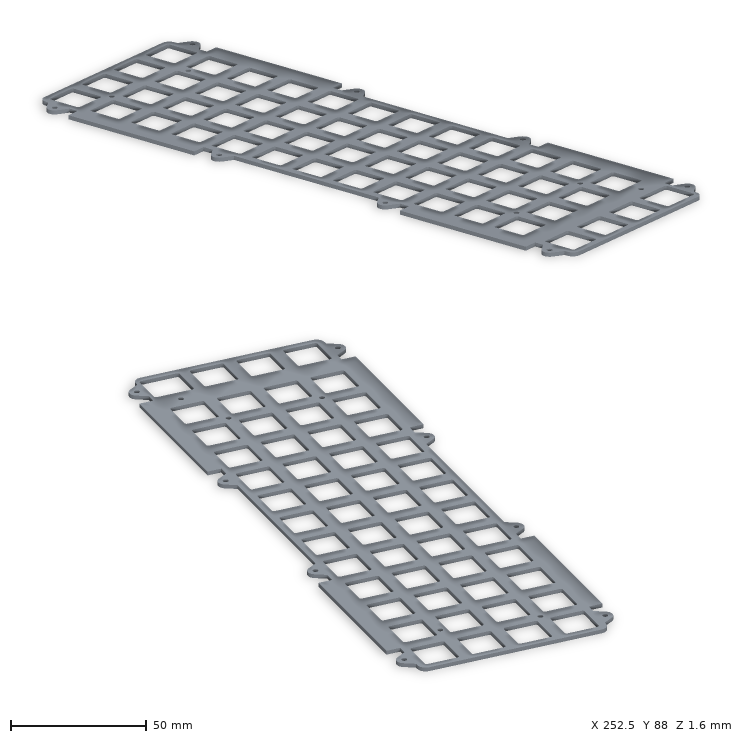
import cadquery as cq
import math

plate_length = 252.5
plate_width = 77.0
plate_thickness = 1.6
plate_corner_radius = 3.3
overall_width = 88.0

row_count = 4
regular_columns = 12
regular_column_span = 209.5
pitch = regular_column_span / (regular_columns - 1)
end_column_offset = 1.25
end_column_gap = end_column_offset * pitch
first_column_x = -(regular_column_span + end_column_gap) / 2
last_regular_x = first_column_x + regular_column_span
end_column_x = -first_column_x
row_positions = [(row - (row_count - 1) / 2) * pitch for row in range(row_count)]
top_row_y = row_positions[-1]

key_size = 14.0
key_corner_radius = 0.8
tall_key_height = 16.2
tall_key_shift = 0.3
tall_key_y = top_row_y + tall_key_shift

tab_inner_x = 48.5
tab_outer_x = 107.8

inner_ear_x = 39.0
ear_positions = [first_column_x, -inner_ear_x, inner_ear_x, end_column_x]
ear_tip_radius = 3.0
ear_base_width = 10.0
ear_root_overlap = 1.3
ear_hole_y = overall_width / 2 - ear_tip_radius

hole_diameter = 2.2
left_hole_x = -101.2
right_hole_x = 83.5
plate_holes = [
    (left_hole_x, pitch),
    (first_column_x + pitch / 2, -pitch),
    (right_hole_x, pitch),
    (right_hole_x, -pitch),
    (last_regular_x + end_column_gap / 2, top_row_y),
]
ear_holes = [(x, side * ear_hole_y) for x in ear_positions for side in (1, -1)]


def make_block(length, width):
    """Plate-thick block centred on the Z axis, standing on Z = 0."""
    return cq.Workplane("XY").rect(length, width).extrude(plate_thickness)


def make_ear(x, side):
    """Ear with a round tip whose straight flanks run tangentially down to the plate edge."""
    edge_y = plate_width / 2
    half_base = ear_base_width / 2
    rise = ear_hole_y - edge_y
    base_to_centre = math.hypot(half_base, rise)
    tangent_angle = math.acos(ear_tip_radius / base_to_centre) - math.atan2(rise, half_base)
    tangent_x = ear_tip_radius * math.cos(tangent_angle)
    tangent_y = ear_hole_y + ear_tip_radius * math.sin(tangent_angle)
    root_y = edge_y - ear_root_overlap
    return (
        cq.Workplane("XY")
        .moveTo(x - half_base, side * root_y)
        .lineTo(x + half_base, side * root_y)
        .lineTo(x + half_base, side * edge_y)
        .lineTo(x + tangent_x, side * tangent_y)
        .threePointArc((x, side * overall_width / 2), (x - tangent_x, side * tangent_y))
        .lineTo(x - half_base, side * edge_y)
        .close()
        .extrude(plate_thickness)
    )


def make_outline():
    """Solid plate with its tabs and ears."""
    body = make_block(plate_length, plate_width).edges("|Z").fillet(plate_corner_radius)
    tab_centre_x = (tab_inner_x + tab_outer_x) / 2
    tab = make_block(tab_outer_x - tab_inner_x, overall_width)
    for side in (1, -1):
        body = body.union(tab.translate((side * tab_centre_x, 0, 0)))
        for x in ear_positions:
            body = body.union(make_ear(x, side))
    return body


def make_key_cutters(centres, height):
    """Rounded rectangular cutters for the key openings at the given centres."""
    cutters = cq.Workplane("XY").pushPoints(centres).rect(key_size, height).extrude(plate_thickness)
    return cutters.edges("|Z").fillet(key_corner_radius)


column_positions = [first_column_x + column * pitch for column in range(regular_columns)]
column_positions.append(end_column_x)
tall_key_site = (end_column_x, top_row_y)
key_sites = [(x, y) for x in column_positions for y in row_positions]
square_keys = [site for site in key_sites if site != tall_key_site]

hole_cutters = (
    cq.Workplane("XY")
    .pushPoints(plate_holes + ear_holes)
    .circle(hole_diameter / 2)
    .extrude(plate_thickness)
)

result = (
    make_outline()
    .cut(make_key_cutters(square_keys, key_size))
    .cut(make_key_cutters([(end_column_x, tall_key_y)], tall_key_height))
    .cut(hole_cutters)
)